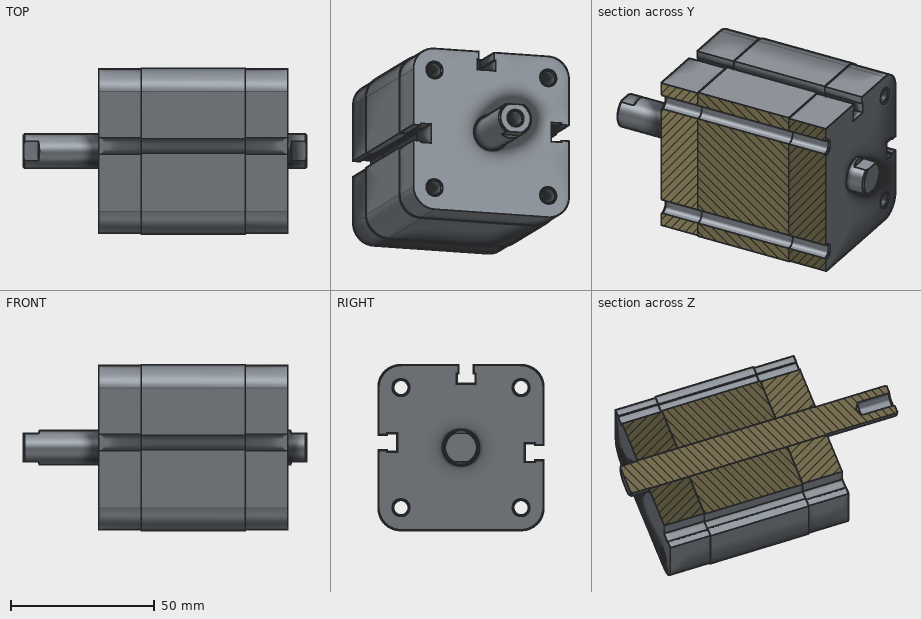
import cadquery as cq
import math

ROD_LENGTH = 99.0
FRONT_FACE = 26.3
CAP_LENGTH = 14.85
TUBE_LENGTH = 36.4

TUBE_SIDE = 58.0
CAP_INSET = 0.3
BOLT_OFFSET = 21.0

BOLT_HOLE_DIAMETER = 5.1
CAP_HOLE_CHAMFER = 0.5

SLOT_OFFSET = 1.8
SLOT_MOUTH_WIDTH = 5.0
SLOT_CHANNEL_WIDTH = 6.2
SLOT_STEP_DEPTH = 3.3
SLOT_DEPTH = 6.5
SLOT_TURNS = (-90, 0, 90)

ROD_DIAMETER = 12.0
ROD_CHAMFER = 0.5
FLATS_THICKNESS = 9.9
FLAT_LENGTH = 5.2
FLAT_SHOULDER_RUN = 0.4
ROD_HOLE_DIAMETER = 5.1
ROD_HOLE_CHAMFER = 0.5
ROD_HOLE_DEPTH = 11.9
DRILL_POINT_ANGLE = 118.0

TUBE_START = FRONT_FACE + CAP_LENGTH
TUBE_END = TUBE_START + TUBE_LENGTH


def cylinder_x(start, end, diameter):
    """Solid cylinder on the X axis."""
    return cq.Workplane("YZ", origin=(start, 0, 0)).circle(diameter / 2).extrude(end - start)


def slot_cutter(start, length, inset):
    """Stepped slot open towards +Z: a narrow mouth above a wider channel."""
    floor_level = TUBE_SIDE / 2 - SLOT_DEPTH - inset
    mouth_width = SLOT_MOUTH_WIDTH + 2 * inset
    channel_width = SLOT_CHANNEL_WIDTH + 2 * inset
    mouth_height = SLOT_DEPTH + inset
    channel_height = SLOT_DEPTH - SLOT_STEP_DEPTH + 2 * inset
    floor = cq.Workplane(origin=(start, SLOT_OFFSET, floor_level))
    from_floor = (False, True, False)
    mouth = floor.box(length, mouth_width, mouth_height, from_floor)
    channel = floor.box(length, channel_width, channel_height, from_floor)
    return mouth.union(channel)


def housing_section(start, length, inset):
    """Rounded square block with bolt holes, rod bore and slots, its outline set in by inset."""
    side = TUBE_SIDE - 2 * inset
    bolt_spacing = 2 * BOLT_OFFSET
    end_plane = cq.Workplane("YZ", origin=(start, 0, 0))
    block = end_plane.rect(side, side).extrude(length)
    block = block.edges("|X").fillet(side / 2 - BOLT_OFFSET)
    bolt_holes = (
        end_plane.rect(bolt_spacing, bolt_spacing, forConstruction=True)
        .vertices()
        .circle(BOLT_HOLE_DIAMETER / 2)
        .extrude(length)
    )
    block = block.cut(bolt_holes).cut(cylinder_x(start, start + length, ROD_DIAMETER))
    cutter = slot_cutter(start, length, inset)
    for turn in SLOT_TURNS:
        block = block.cut(cutter.rotate((0, 0, 0), (1, 0, 0), turn))
    return block


def end_cap(start, outer_face):
    """End cap with its bolt holes and rod bore chamfered on the outer face."""
    cap = housing_section(start, CAP_LENGTH, CAP_INSET)
    hole_rims = [wire.Edges()[0] for wire in cap.faces(outer_face).val().innerWires()]
    return cap.newObject(hole_rims).chamfer(CAP_HOLE_CHAMFER)


def flat_cutter(shoulder_x, end_x):
    """Prism above the upper wrench flat, from its sloped shoulder to the rod end."""
    flat_level = FLATS_THICKNESS / 2
    rod_radius = ROD_DIAMETER / 2
    outward = math.copysign(1, end_x - shoulder_x)
    return (
        cq.Workplane("XZ")
        .moveTo(shoulder_x, flat_level)
        .lineTo(shoulder_x - outward * FLAT_SHOULDER_RUN, rod_radius)
        .lineTo(end_x, rod_radius)
        .lineTo(end_x, flat_level)
        .close()
        .extrude(rod_radius, both=True)
    )


def rod_hole():
    """Chamfered blind hole with a drill point, in the front end of the rod."""
    radius = ROD_HOLE_DIAMETER / 2
    point_depth = radius / math.tan(math.radians(DRILL_POINT_ANGLE / 2))
    return (
        cq.Workplane("XY")
        .moveTo(0, 0)
        .lineTo(0, radius + ROD_HOLE_CHAMFER)
        .lineTo(ROD_HOLE_CHAMFER, radius)
        .lineTo(ROD_HOLE_DEPTH, radius)
        .lineTo(ROD_HOLE_DEPTH + point_depth, 0)
        .close()
        .revolve(360, (0, 0, 0), (1, 0, 0))
    )


def piston_rod():
    """Through rod with chamfered ends, two wrench flats at each end and a front hole."""
    rod = cylinder_x(0, ROD_LENGTH, ROD_DIAMETER)
    rod = rod.faces("<X or >X").chamfer(ROD_CHAMFER)
    front_flat = flat_cutter(FLAT_LENGTH, 0)
    rear_flat = flat_cutter(ROD_LENGTH - FLAT_LENGTH, ROD_LENGTH)
    for flat in (front_flat, rear_flat):
        rod = rod.cut(flat).cut(flat.mirror("XY"))
    return rod.cut(rod_hole())


front_cap = end_cap(FRONT_FACE, "<X")
tube = housing_section(TUBE_START, TUBE_LENGTH, 0)
rear_cap = end_cap(TUBE_END, ">X")
rod = piston_rod()

result = cq.Compound.makeCompound([front_cap.val(), tube.val(), rear_cap.val(), rod.val()])